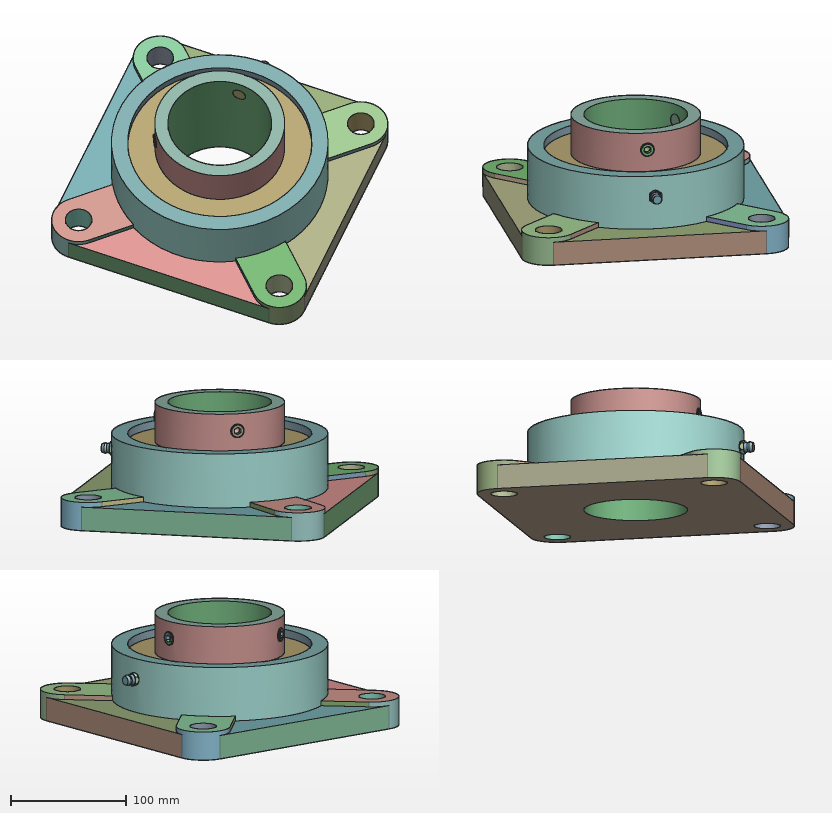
import cadquery as cq
import math

flange_side = 235.0
flange_height = 21.0
corner_radius = 23.5
pad_height = 25.1
bolt_hole_diameter = 23.0
bolt_offset = flange_side / 2 - corner_radius

housing_diameter = 188.0
housing_top = 68.6
recess_diameter = 159.8
recess_depth = 7.0
ring_diameter = 112.8
ring_top = 96.4
bore_diameter = 90.0

screw_angles = (90, 210)
screw_height = 81.3
screw_diameter = 12.0
screw_chamfer = 0.7
screw_protrusion = 1.2
socket_across_flats = 5.6
socket_depth = 4.7
socket_point_depth = 1.6

nipple_height = 50.5
nipple_embedding = 1.2
nipple_hex_flats = 10.3
nipple_hex_length = 3.8
nipple_foot_diameter = 9.2
nipple_foot_flare = 25
nipple_shank_radius = 4.7
nipple_neck_radius = 4.0
nipple_neck_position = 6.5
nipple_rim_radius = 4.7
nipple_rim_position = 8.5
nipple_tip_radius = 3.8
nipple_tip_position = 11.3


def cylinder(diameter, height):
    return cq.Workplane("XY").circle(diameter / 2).extrude(height)


def hex_diameter(across_flats):
    return across_flats / math.cos(math.radians(30))


def make_flange():
    """Square plate crossed by two raised diagonal bars whose round ends form its corners."""
    flange = (
        cq.Workplane("XY")
        .rect(flange_side, flange_side)
        .extrude(flange_height)
        .edges("|Z")
        .chamfer(corner_radius)
    )
    bolt_radius = bolt_offset * math.sqrt(2)
    for diagonal in (45, 135):
        pad_bar = (
            cq.Workplane("XY")
            .slot2D(2 * (bolt_radius + corner_radius), 2 * corner_radius, diagonal)
            .extrude(pad_height)
        )
        flange = flange.union(pad_bar)
    return flange


def cut_bolt_holes(body):
    holes = (
        cq.Workplane("XY")
        .rect(2 * bolt_offset, 2 * bolt_offset, forConstruction=True)
        .vertices()
        .circle(bolt_hole_diameter / 2)
        .extrude(pad_height)
    )
    return body.cut(holes)


def make_housing():
    """Round housing, recessed around the protruding inner ring."""
    recess = cylinder(recess_diameter, recess_depth).translate((0, 0, housing_top - recess_depth))
    return cylinder(housing_diameter, housing_top).cut(recess).union(cylinder(ring_diameter, ring_top))


def radial_plane(angle, radius, height):
    """Plane facing outward from the Z axis, at the given radius and height."""
    x_out = math.cos(math.radians(angle))
    y_out = math.sin(math.radians(angle))
    return cq.Plane(
        origin=(radius * x_out, radius * y_out, height),
        xDir=(-y_out, x_out, 0),
        normal=(x_out, y_out, 0),
    )


def fit_set_screw(body, angle):
    """Fit a screw whose chamfered socket end stands proud of the still solid inner ring."""
    blank_length = ring_diameter / 2 + screw_protrusion
    blank_plane = radial_plane(angle, 0, screw_height)
    outer_face = cq.selectors.DirectionMinMaxSelector(blank_plane.zDir)
    blank = (
        cq.Workplane(blank_plane)
        .circle(screw_diameter / 2)
        .extrude(blank_length)
        .faces(outer_face)
        .chamfer(screw_chamfer)
    )
    socket_floor = radial_plane(angle, blank_length - socket_depth, screw_height)
    socket = (
        cq.Workplane(socket_floor)
        .transformed(rotate=(0, 0, 90))
        .polygon(6, hex_diameter(socket_across_flats))
        .extrude(socket_depth)
    )
    socket_point = cq.Workplane(
        cq.Solid.makeCone(
            socket_across_flats / 2,
            0,
            socket_point_depth,
            pnt=socket_floor.origin,
            dir=socket_floor.zDir * -1,
        )
    )
    return body.union(blank).cut(socket).cut(socket_point)


def cut_bore(body):
    """Cut the bore and clear it up to the flat inner end of each set screw."""
    body = body.cut(cylinder(bore_diameter, ring_top))
    for angle in screw_angles:
        screw_end_clearance = (
            cq.Workplane(radial_plane(angle, 0, screw_height))
            .circle(screw_diameter / 2)
            .extrude(bore_diameter / 2)
        )
        body = body.cut(screw_end_clearance)
    return body


def make_nipple():
    """Grease nipple: a hexagon flared out from a round foot, below a waisted head."""
    root = radial_plane(90, housing_diameter / 2 - nipple_embedding, nipple_height)
    foot_length = nipple_embedding + nipple_hex_length
    hexagon = (
        cq.Workplane(root)
        .transformed(rotate=(0, 0, 90))
        .polygon(6, hex_diameter(nipple_hex_flats))
        .extrude(foot_length)
    )
    flared_foot = (
        cq.Workplane(root)
        .circle(nipple_foot_diameter / 2)
        .extrude(foot_length, taper=-nipple_foot_flare)
    )
    stem = (
        cq.Workplane("XY")
        .moveTo(0, -nipple_embedding)
        .lineTo(nipple_shank_radius, -nipple_embedding)
        .lineTo(nipple_shank_radius, nipple_hex_length)
        .lineTo(nipple_neck_radius, nipple_neck_position)
        .lineTo(nipple_rim_radius, nipple_rim_position)
        .lineTo(nipple_tip_radius, nipple_tip_position)
        .lineTo(0, nipple_tip_position)
        .close()
        .revolve(360, (0, 0, 0), (0, 1, 0))
        .translate((0, housing_diameter / 2, nipple_height))
    )
    return hexagon.intersect(flared_foot).union(stem)


body = make_flange().union(make_housing())
for screw_angle in screw_angles:
    body = fit_set_screw(body, screw_angle)
body = cut_bore(body)
body = cut_bolt_holes(body)
result = body.union(make_nipple())